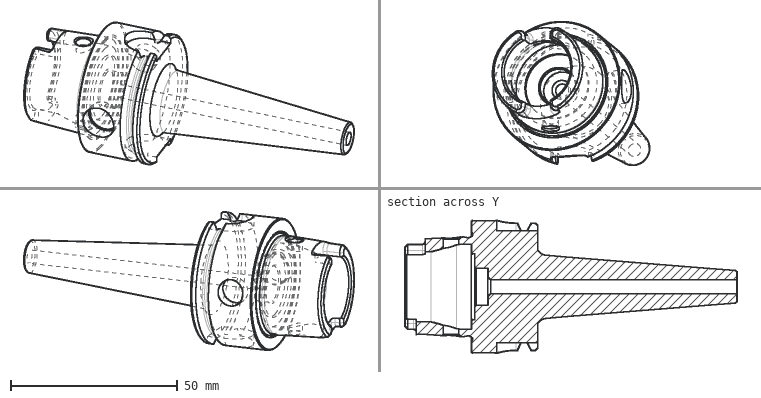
import cadquery as cq
import math


total_length = 99.9
shank_length = 20.0
flange_end = 40.0

taper_rise = 0.05
gauge_radius = 15.1
taper_end = 17.8
shank_front_radius = gauge_radius - taper_rise * taper_end
shank_chamfer = 0.7
relief_radius = 14.9
relief_start = 18.7
relief_end = 19.4
shank_root_radius = 15.5
face_recess_radius = 16.1
face_recess_depth = 0.3

flange_radius = 20.0
flange_chamfer = 0.3
groove_radius = 17.4
groove_start = 33.9
groove_floor_start = 35.1
groove_floor_end = 36.6
groove_end = 38.0
groove_fillet = 0.6
flange_face_chamfer = 0.7

neck_start = 42.5
neck_root_radius = 9.6
neck_tip_radius = 5.0
neck_flare_radius = 11.2
tip_chamfer = 0.5

mouth_radius = 11.1
bore_radius = 10.5
mouth_chamfer = mouth_radius - bore_radius
lip_depth = 7.8
undercut_radius = 12.7
undercut_start = 15.4
undercut_end = 20.0
inner_bore_radius = 9.9
bore_depth = 21.0
recess_radius = 5.5
recess_chamfer = 0.4
recess_depth = 25.0
coolant_radius = 2.0
coolant_chamfer = 0.9

slot_half_width = 4.0
slot_ledge_height = 12.8
slot_lip_radius = 1.8
slot_edge_size = 0.9
top_slot_depth = 6.1
bottom_slot_depth = 3.4

cross_hole_x = 13.9
cross_hole_radius = 2.3
cross_hole_chamfer = 0.6

keyway_start = 27.7
keyway_radius = 5.6
keyway_floor = 16.9

pocket_x = 26.8
pocket_radius = 5.0
pocket_depth = 5.0
pocket_floor_chamfer = 0.3
side_hole_radius = 4.0
side_hole_z = 2.0
side_hole_depth = 4.0


def make_body():
    """Outside of the holder, turned about the X axis."""
    return (
        cq.Workplane("XY")
        .moveTo(total_length, 0)
        .lineTo(total_length, neck_tip_radius - tip_chamfer)
        .lineTo(total_length - tip_chamfer, neck_tip_radius)
        .lineTo(neck_start, neck_root_radius)
        .tangentArcPoint((flange_end, neck_flare_radius), relative=False)
        .lineTo(flange_end, flange_radius - flange_face_chamfer)
        .lineTo(flange_end - flange_face_chamfer, flange_radius)
        .lineTo(shank_length + flange_chamfer, flange_radius)
        .lineTo(shank_length, flange_radius - flange_chamfer)
        .lineTo(shank_length, face_recess_radius)
        .lineTo(shank_length + face_recess_depth, face_recess_radius)
        .lineTo(shank_length + face_recess_depth, shank_root_radius)
        .lineTo(relief_end, relief_radius)
        .lineTo(relief_start, relief_radius)
        .lineTo(taper_end, gauge_radius)
        .lineTo(shank_chamfer, shank_front_radius + taper_rise * shank_chamfer)
        .lineTo(0, shank_front_radius - shank_chamfer)
        .lineTo(0, 0)
        .close()
        .revolve(360, (0, 0, 0), (1, 0, 0))
    )


def make_groove():
    """V groove around the flange, with fillets along its narrow floor."""
    return (
        cq.Workplane("XY")
        .moveTo(groove_start, flange_radius)
        .lineTo(groove_floor_start, groove_radius)
        .lineTo(groove_floor_end, groove_radius)
        .lineTo(groove_end, flange_radius)
        .close()
        .revolve(360, (0, 0, 0), (1, 0, 0))
        .edges(cq.selectors.RadiusNthSelector(0))
        .fillet(groove_fillet)
    )


def make_bore():
    """Stepped bore from the shank mouth, ending in the through coolant hole."""
    return (
        cq.Workplane("XY")
        .lineTo(0, mouth_radius)
        .lineTo(mouth_chamfer, bore_radius)
        .lineTo(lip_depth, bore_radius)
        .lineTo(undercut_start, undercut_radius)
        .lineTo(undercut_end, undercut_radius)
        .lineTo(undercut_end, inner_bore_radius)
        .lineTo(bore_depth, inner_bore_radius)
        .lineTo(bore_depth, recess_radius + recess_chamfer)
        .lineTo(bore_depth + recess_chamfer, recess_radius)
        .lineTo(recess_depth, recess_radius)
        .lineTo(recess_depth, coolant_radius + coolant_chamfer)
        .lineTo(recess_depth + coolant_chamfer, coolant_radius)
        .lineTo(total_length, coolant_radius)
        .lineTo(total_length, 0)
        .close()
        .revolve(360, (0, 0, 0), (1, 0, 0))
    )


def make_drive_slot(depth):
    """Cutter for a drive slot on the +Z side: round lips, rounded back corner, flared mouth."""
    reach = flange_radius
    lip_y = slot_half_width + slot_lip_radius
    lip_z = slot_ledge_height - slot_lip_radius
    arc_y = lip_y - slot_lip_radius * math.cos(math.pi / 4)
    arc_z = lip_z + slot_lip_radius * math.sin(math.pi / 4)

    def profile(x):
        return (
            cq.Workplane("YZ", origin=(x, 0, 0))
            .moveTo(-slot_half_width, 0)
            .lineTo(slot_half_width, 0)
            .lineTo(slot_half_width, lip_z)
            .threePointArc((arc_y, arc_z), (lip_y, slot_ledge_height))
            .lineTo(reach, slot_ledge_height)
            .lineTo(reach, reach)
            .lineTo(-reach, reach)
            .lineTo(-reach, slot_ledge_height)
            .lineTo(-lip_y, slot_ledge_height)
            .threePointArc((-arc_y, arc_z), (-slot_half_width, lip_z))
            .close()
        )

    slot = profile(0).extrude(depth).faces(">X").edges().fillet(slot_edge_size)
    flare = profile(slot_edge_size).extrude(-slot_edge_size, taper=-45)
    return slot.union(flare)


def make_cross_hole():
    """Hole across the shank along Z, countersunk where it meets the taper."""
    surface = shank_front_radius + taper_rise * cross_hole_x
    half = (
        cq.Workplane("XZ", origin=(cross_hole_x, 0, 0))
        .lineTo(cross_hole_radius, 0)
        .lineTo(cross_hole_radius, surface - cross_hole_chamfer)
        .lineTo(cross_hole_radius + cross_hole_chamfer, surface)
        .lineTo(cross_hole_radius + cross_hole_chamfer, flange_radius)
        .lineTo(0, flange_radius)
        .close()
        .revolve(360, (0, 0, 0), (0, 1, 0))
    )
    return half.union(half.mirror("XY"))


def make_keyway():
    """Flat-bottomed keyway on the +Z side, round at its inner end and open at the flange face."""
    centre_x = keyway_start + keyway_radius
    height = flange_radius - keyway_floor
    floor = cq.Workplane("XY", origin=(centre_x, 0, keyway_floor))
    round_end = floor.circle(keyway_radius).extrude(height)
    straight = floor.box(
        flange_end - centre_x, 2 * keyway_radius, height, centered=(False, True, False)
    )
    return round_end.union(straight)


def make_pocket():
    """Blind round pocket on the -Y side of the flange."""
    return (
        cq.Workplane("XZ", origin=(pocket_x, -flange_radius, 0))
        .circle(pocket_radius)
        .extrude(-pocket_depth)
        .faces(">Y")
        .chamfer(pocket_floor_chamfer)
    )


def make_side_hole():
    """Blind round hole on the +Y side of the flange, a little above the middle."""
    return (
        cq.Workplane("XZ", origin=(pocket_x, flange_radius, side_hole_z))
        .circle(side_hole_radius)
        .extrude(side_hole_depth)
    )


keyway = make_keyway()
result = (
    make_body()
    .cut(make_groove())
    .cut(make_bore())
    .cut(make_drive_slot(top_slot_depth))
    .cut(make_drive_slot(bottom_slot_depth).mirror("XY"))
    .cut(make_cross_hole())
    .cut(keyway)
    .cut(keyway.mirror("XY"))
    .cut(make_pocket())
    .cut(make_side_hole())
)